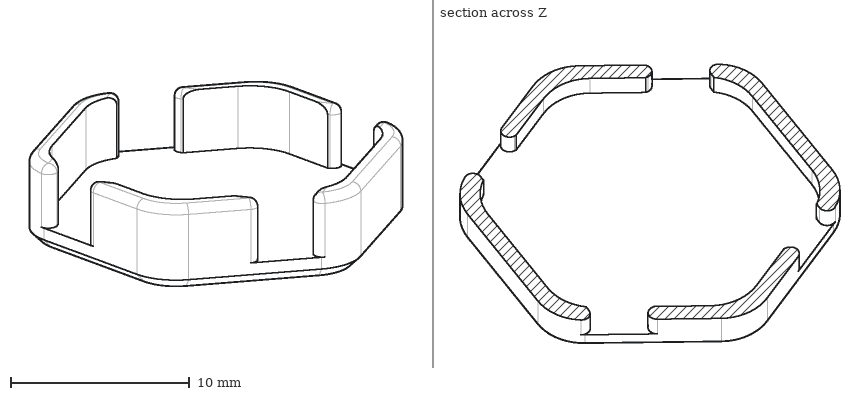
import cadquery as cq
import math

length_y = 21.25
across_flats = 19.2
height = 5.0
floor_top = 1.3
wall_thickness = 1.0
base_chamfer = 0.6
square_side = 15.0
edge_radius = wall_thickness / 2

cos_30 = math.cos(math.radians(30))
corner_radius = (across_flats / cos_30 - length_y) / 2 / (1 / cos_30 - 1)
wall_height = height - floor_top
tolerance = 0.0002


def hexagon_prism(flats, depth, bottom):
    """Prism with rounded corners, points along Y, starting at height bottom."""
    return (
        cq.Workplane("XY", origin=(0, 0, bottom))
        .polygon(6, flats / cos_30)
        .extrude(depth)
        .rotate((0, 0, 0), (0, 0, 1), 90)
        .edges("|Z")
        .fillet(corner_radius)
    )


def is_wall_end_edge(edge):
    """True for a vertical edge lying on a side of the square recess."""
    center = edge.Center()
    half_side = square_side / 2
    return min(abs(abs(center.x) - half_side), abs(abs(center.y) - half_side)) < tolerance


def make_walls():
    """Four wall segments, rounded along the outer top edges and at their ends."""
    square = (
        cq.Workplane("XY", origin=(0, 0, floor_top))
        .rect(square_side, square_side)
        .extrude(wall_height)
    )
    segments = hexagon_prism(across_flats, wall_height, floor_top).cut(square)
    end_edges = [edge for edge in segments.edges("|Z").vals() if is_wall_end_edge(edge)]
    top_edges = segments.faces(">Z").edges().vals()
    rounded = segments.newObject(end_edges + top_edges).fillet(edge_radius)

    cavity = hexagon_prism(across_flats - 2 * wall_thickness, wall_height, floor_top)
    return rounded.cut(cavity)


base = hexagon_prism(across_flats, floor_top, 0).faces("<Z").edges().chamfer(base_chamfer)
result = base.union(make_walls())